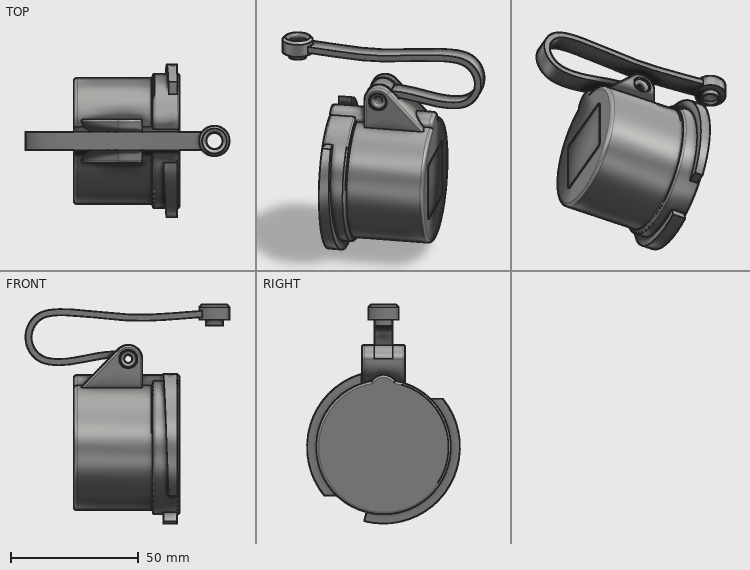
import math

import cadquery as cq


body_radius = 24.75
body_length = 41.5
closed_face_fillet = 1.4
collar_radius = 26.35
collar_start = 31.0
collar_fillet = 0.8
collar_cove = 0.5
rim_fillet = 0.9
rib_radius = 5.75
rib_top = 28.25

label_width = 28.4
label_height = 23.0
label_corner = 1.5
label_depth = 0.3

lug_radius = 29.95
lug_root_radius = 22.0
lug_front = 40.5
lug_thin_start = 37.2
lug_thick_start = 35.2
lug_thin_wall_z = 18.95
short_lug_wall_y = 8.6
ramp_end_angle = -73.3
lug_end_angle = -104.7
ramp_steps = 32
blank_margin = 1.0
blank_margin_angle = 2.0

pin_x = 21.4
pin_z = 34.5
ear_radius = 5.55
bracket_width = 17.0
bracket_front = 2.8
bracket_root_z = 23.2
bracket_buried_z = 18.0
ear_fillet = 0.9
slot_width = 7.4
knuckle_radius = 5.3
pin_bore_radius = 1.5
pin_bore_fillet = 1.3
pin_seat_outer_radius = 3.6
pin_seat_inner_radius = 3.2
pin_seat_depth = 0.6

strap_width = 7.1
strap_thickness = 2.5
strap_outer_x = -18.87
loop_left_x = strap_outer_x + strap_thickness / 2
loop_middle_z = 43.0
loop_radius = 9.65
loop_steps = 6
strap_lower_points = [(13.5, 36.1), (5.0, 34.7)]
strap_upper_points = [(0.0, 52.65), (14.0, 51.35), (26.5, 50.6), (40.0, 51.3)]
strap_start_z = 36.3
strap_end_z = 52.1
strap_end_slope = 0.07

eyelet_x = 55.13
eyelet_radius = 5.98
eyelet_top = 55.89
eyelet_bottom = 49.8
eyelet_bore_radius = 3.1
eyelet_bore_fillet = 1.65
eyelet_chamfer = 1.1
spigot_radius = 3.4
spigot_bottom = 47.5


def disc_along_x(radius, start, end):
    """Cylinder about the X axis between two X positions."""
    return cq.Workplane("YZ", origin=(start, 0, 0)).circle(radius).extrude(end - start)


def round_ends(shape):
    """Round the closed-face edge and the rim edge of a shape turned about X."""
    return shape.faces("<X").edges().fillet(closed_face_fillet).faces(">X").edges().fillet(rim_fillet)


def make_body():
    """Turned body with its collar, key rib, rounded ends and label recess."""
    diagonal = math.sqrt(0.5)
    cove_start = collar_start - collar_cove
    cove_middle = (
        cove_start + collar_cove * diagonal,
        body_radius + collar_cove * (1 - diagonal),
    )
    shoulder_middle = (
        collar_start + collar_fillet * (1 - diagonal),
        collar_radius - collar_fillet * (1 - diagonal),
    )
    turned = (
        cq.Workplane("XY")
        .lineTo(0, body_radius)
        .lineTo(cove_start, body_radius)
        .threePointArc(cove_middle, (collar_start, body_radius + collar_cove))
        .lineTo(collar_start, collar_radius - collar_fillet)
        .threePointArc(shoulder_middle, (collar_start + collar_fillet, collar_radius))
        .lineTo(body_length, collar_radius)
        .lineTo(body_length, 0)
        .close()
        .revolve(360, (0, 0, 0), (1, 0, 0))
    )
    rib = disc_along_x(rib_radius, 0, body_length)
    body = round_ends(turned).union(round_ends(rib).translate((0, 0, rib_top - rib_radius)))
    label = (
        cq.Workplane("YZ")
        .rect(label_width, label_height)
        .extrude(label_depth)
        .edges("|X")
        .fillet(label_corner)
    )
    return body.cut(label)


def polar_point(x, radius, degrees):
    """Point at a radius and angle about X; 0 degrees is +Y and 90 degrees is +Z."""
    angle = math.radians(degrees)
    return cq.Vector(x, radius * math.cos(angle), radius * math.sin(angle))


def make_lug():
    """Lug from a level wall on the +Y side, thickening downwards and then running flat."""
    thin_angle = math.degrees(math.asin(lug_thin_wall_z / lug_radius))
    slope = (lug_thin_start - lug_thick_start) / (thin_angle - ramp_end_angle)
    root_wall_angle = math.degrees(math.asin(lug_thin_wall_z / lug_root_radius))
    blank_angle = root_wall_angle + blank_margin_angle
    blank_radius = lug_radius + blank_margin
    blank_depth = lug_front - lug_thick_start + blank_margin

    def rear_edge(radius):
        points = []
        for step in range(ramp_steps + 1):
            angle = blank_angle + (lug_end_angle - blank_angle) * step / ramp_steps
            x = lug_thick_start + slope * max(0, angle - ramp_end_angle)
            points.append(polar_point(x, radius, angle))
        return cq.Edge.makeSpline(points)

    rear = cq.Face.makeRuledSurface(rear_edge(lug_root_radius), rear_edge(blank_radius))
    lug = cq.Workplane(cq.Solid.extrudeLinear(rear, cq.Vector(blank_depth, 0, 0)))

    below_wall = cq.Workplane("XY").box(
        2 * body_length, 3 * lug_radius, 2 * lug_radius, centered=(True, True, False)
    )
    below_wall = below_wall.translate((0, 0, lug_thin_wall_z - 2 * lug_radius))
    return lug.intersect(disc_along_x(lug_radius, 0, lug_front)).intersect(below_wall)


def make_short_lug():
    """Lug on the -Y side, opposite the long one and ending in an upright wall."""
    lug = make_lug()
    beside_wall = cq.Workplane("XY").box(
        2 * body_length, lug_radius, 3 * lug_radius, centered=(True, False, True)
    )
    lug = lug.intersect(beside_wall.translate((0, short_lug_wall_y, 0)))
    return lug.rotate((0, 0, 0), (1, 0, 0), 180)


def make_bracket():
    """Bracket with a sloped front, rounded crown, strap slot and strap knuckle."""
    toe_x = bracket_front - pin_x
    toe_z = bracket_root_z - pin_z
    toe_distance = math.hypot(toe_x, toe_z)
    tangent_angle = math.atan2(toe_z, toe_x) - math.acos(ear_radius / toe_distance)
    tangent = (
        pin_x + ear_radius * math.cos(tangent_angle),
        pin_z + ear_radius * math.sin(tangent_angle),
    )
    slope = (tangent[1] - bracket_root_z) / (tangent[0] - bracket_front)
    buried_toe_x = bracket_front - (bracket_root_z - bracket_buried_z) / slope
    bracket = (
        cq.Workplane("XZ")
        .moveTo(buried_toe_x, bracket_buried_z)
        .lineTo(*tangent)
        .threePointArc((pin_x, pin_z + ear_radius), (pin_x + ear_radius, pin_z))
        .lineTo(pin_x + ear_radius, bracket_buried_z)
        .close()
        .extrude(bracket_width / 2, both=True)
    )
    bracket = bracket.intersect(
        cq.Workplane("XY", origin=(body_length / 2 + closed_face_fillet, 0, 0)).box(
            body_length, bracket_width, 4 * body_radius
        )
    )
    bracket = bracket.faces("<Y or >Y").edges("not <Z").fillet(ear_fillet)

    slot_height = 2 * ear_radius
    slot = cq.Workplane("XY", origin=(pin_x, 0, pin_z)).box(
        4 * ear_radius, slot_width, slot_height, centered=(True, True, False)
    )
    knuckle_side = cq.Workplane("XZ", origin=(pin_x, slot_width / 2, pin_z))
    knuckle = knuckle_side.circle(knuckle_radius).extrude(slot_width)
    return bracket.cut(slot).union(knuckle)


def make_pin_bore():
    """Bore through the hinge with a rounded mouth in a tapered seat at each end."""
    diagonal = math.sqrt(0.5)
    half_width = bracket_width / 2
    seat_y = half_width - pin_seat_depth
    mouth_radius = pin_bore_radius + pin_bore_fillet
    mouth_middle = (
        mouth_radius - pin_bore_fillet * diagonal,
        seat_y - pin_bore_fillet * (1 - diagonal),
    )
    half_bore = (
        cq.Workplane("XY")
        .lineTo(pin_bore_radius, 0)
        .lineTo(pin_bore_radius, seat_y - pin_bore_fillet)
        .threePointArc(mouth_middle, (mouth_radius, seat_y))
        .lineTo(pin_seat_inner_radius, seat_y)
        .lineTo(pin_seat_outer_radius, half_width)
        .lineTo(0, half_width)
        .close()
        .revolve(360, (0, 0, 0), (0, 1, 0))
    )
    return half_bore.union(half_bore.mirror("XZ")).translate((pin_x, 0, pin_z))


def make_strap():
    """Flat strap swept from the hinge knuckle round the loop to the eyelet."""
    loop_x = loop_left_x + loop_radius
    loop_points = []
    for step in range(loop_steps + 1):
        angle = math.radians(270 - 180 * step / loop_steps)
        x = loop_x + loop_radius * math.cos(angle)
        z = loop_middle_z + loop_radius * math.sin(angle)
        loop_points.append((x, z))
    start_x = pin_x - knuckle_radius / 2
    end_x = eyelet_x - (eyelet_radius + eyelet_bore_radius) / 2
    lower_points = [(start_x, strap_start_z)] + strap_lower_points
    upper_points = strap_upper_points + [(end_x, strap_end_z)]
    path = cq.Workplane("XZ").spline(
        lower_points + loop_points + upper_points, tangents=[(-1, 0), (1, strap_end_slope)]
    )
    section = cq.Workplane("YZ", origin=(start_x, 0, strap_start_z))
    return section.rect(strap_width, strap_thickness).sweep(path)


def make_eyelet():
    """Bored eyelet ring with a rounded mouth and a spigot below."""
    ring = cq.Workplane("XY", origin=(eyelet_x, 0, eyelet_bottom)).circle(eyelet_radius)
    ring = ring.extrude(eyelet_top - eyelet_bottom).faces(">Z").edges().chamfer(eyelet_chamfer)
    spigot = cq.Workplane("XY", origin=(eyelet_x, 0, spigot_bottom)).circle(spigot_radius)
    eyelet = ring.union(spigot.extrude(eyelet_top - spigot_bottom))
    bore = cq.Workplane("XY", origin=(eyelet_x, 0, spigot_bottom)).circle(eyelet_bore_radius)
    eyelet = eyelet.cut(bore.extrude(eyelet_top - spigot_bottom))
    mouth = cq.selectors.RadiusNthSelector(0)
    return eyelet.faces(">Z").edges(mouth).fillet(eyelet_bore_fillet)


result = (
    make_body()
    .union(make_lug())
    .union(make_short_lug())
    .union(make_bracket())
    .union(make_strap())
    .cut(make_pin_bore())
    .union(make_eyelet())
)